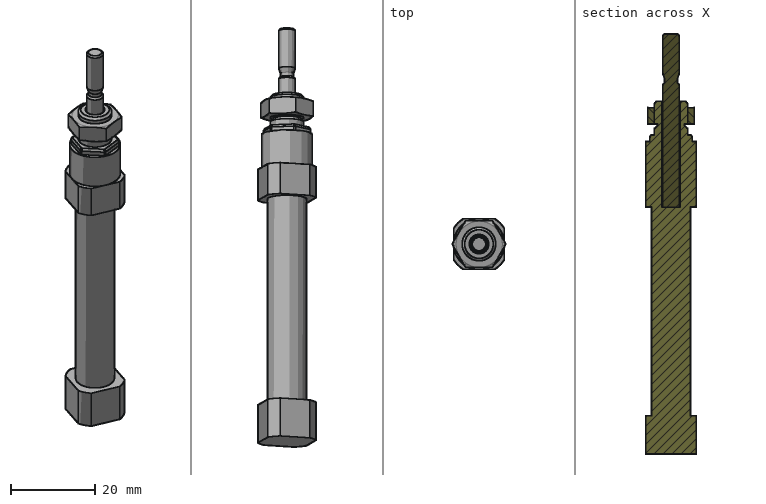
import cadquery as cq
import math

total_length = 99.5
rear_block_height = 9.2
front_block_bottom = 58.5
front_block_top = 66.0
collar_top = 74.0
hex_base_top = 75.6
relief_chamfer_bottom = 77.1
nut_bottom = 78.1
nut_height = 4.0
thread_top = 83.6

block_width = 12.0
block_corner_diameter = 14.1
tube_diameter = 9.3

hex_sides = 6
hex_half_angle = 180.0 / hex_sides

hex_base_flats = 10.1
hex_base_blunted_corners = 11.4
hex_base_chamfer_height = 0.6
hex_base_chamfer_width = 0.35

thread_diameter = 8.0
thread_tip_diameter = 6.8
thread_chamfer_height = 0.6
relief_diameter = 6.5
rod_bore_diameter = 4.2
rod_bore_lead_in = 0.2
rod_bore_bottom = front_block_bottom

nut_flats = 11.0
nut_face_diameter = 10.9
nut_chamfer_angle = 15.0

rod_diameter = 4.0
rod_tip_chamfer = 0.4
rod_groove_diameter = 3.2
rod_groove_top = 90.0
rod_groove_upper_cone = 1.2
rod_groove_lower_cone = 0.5
rod_groove_bottom = 87.5


def cylinder(diameter, bottom, top):
    """Upright cylinder on the Z axis between two levels."""
    return cq.Workplane("XY", origin=(0, 0, bottom)).circle(diameter / 2).extrude(top - bottom)


def revolved(profile):
    """Solid of revolution about Z from (radius, level) points."""
    return cq.Workplane("XZ").polyline(profile).close().revolve(360, (0, 0, 0), (0, 1, 0))


def across_corners(flats):
    """Width of a regular hexagon over its corners, from its width over flats."""
    return flats / math.cos(math.radians(hex_half_angle))


def hexagon(flats, bottom, top):
    """Hexagonal prism with two corners on the X axis."""
    corners = across_corners(flats)
    return cq.Workplane("XY", origin=(0, 0, bottom)).polygon(hex_sides, corners).extrude(top - bottom)


def end_block(bottom, top):
    """Square block whose corners are turned off to a cylinder."""
    square = cq.Workplane("XY", origin=(0, 0, bottom)).rect(block_width, block_width).extrude(top - bottom)
    return square.intersect(cylinder(block_corner_diameter, bottom, top))


def make_hex_base():
    """Short hexagon with cut-off corners and a chamfer along its top edges."""
    chamfer_bottom = hex_base_top - hex_base_chamfer_height
    chamfer_taper = math.degrees(math.atan(hex_base_chamfer_width / hex_base_chamfer_height))
    corner_cutter = hexagon(hex_base_blunted_corners, collar_top, chamfer_bottom)
    corner_cutter = corner_cutter.rotate((0, 0, 0), (0, 0, 1), hex_half_angle)
    base = hexagon(hex_base_flats, collar_top, chamfer_bottom).intersect(corner_cutter)
    return base.faces(">Z").wires().toPending().extrude(hex_base_chamfer_height, taper=chamfer_taper)


def make_nose():
    """Threaded nose with a chamfered tip and a relief groove below the nut."""
    tip_radius = thread_tip_diameter / 2
    thread_radius = thread_diameter / 2
    relief_radius = relief_diameter / 2
    relief_floor_bottom = relief_chamfer_bottom + thread_radius - relief_radius
    return revolved([
        (0, hex_base_top),
        (thread_radius, hex_base_top),
        (thread_radius, relief_chamfer_bottom),
        (relief_radius, relief_floor_bottom),
        (relief_radius, nut_bottom),
        (thread_radius, nut_bottom),
        (thread_radius, thread_top - thread_chamfer_height),
        (tip_radius, thread_top),
        (0, thread_top),
    ])


def make_rod_bore():
    """Blind bore for the piston rod, widened by a chamfer at its mouth."""
    bore_radius = rod_bore_diameter / 2
    return revolved([
        (0, rod_bore_bottom),
        (bore_radius, rod_bore_bottom),
        (bore_radius, thread_top - rod_bore_lead_in),
        (bore_radius + rod_bore_lead_in, thread_top),
        (0, thread_top),
    ])


def make_housing():
    """Rear block, tube, front block, collar, hexagonal base and nose in one piece."""
    housing = end_block(0, rear_block_height)
    housing = housing.union(cylinder(tube_diameter, rear_block_height, front_block_bottom))
    housing = housing.union(end_block(front_block_bottom, front_block_top))
    housing = housing.union(cylinder(block_width, front_block_top, collar_top))
    housing = housing.union(make_hex_base())
    housing = housing.union(make_nose())
    return housing.cut(make_rod_bore())


def make_nut():
    """Hexagon nut with its corners chamfered on both faces."""
    nut_top = nut_bottom + nut_height
    face_radius = nut_face_diameter / 2
    corner_radius = across_corners(nut_flats) / 2
    corner_drop = (corner_radius - face_radius) * math.tan(math.radians(nut_chamfer_angle))
    envelope = revolved([
        (0, nut_bottom),
        (face_radius, nut_bottom),
        (corner_radius, nut_bottom + corner_drop),
        (corner_radius, nut_top - corner_drop),
        (face_radius, nut_top),
        (0, nut_top),
    ])
    nut = hexagon(nut_flats, nut_bottom, nut_top).intersect(envelope)
    return nut.cut(cylinder(thread_diameter, nut_bottom, nut_top))


def make_rod():
    """Piston rod with a chamfered tip and a cone-sided groove, seated on the bore floor."""
    rod_radius = rod_diameter / 2
    groove_radius = rod_groove_diameter / 2
    return revolved([
        (0, rod_bore_bottom),
        (rod_radius, rod_bore_bottom),
        (rod_radius, rod_groove_bottom),
        (groove_radius, rod_groove_bottom + rod_groove_lower_cone),
        (groove_radius, rod_groove_top - rod_groove_upper_cone),
        (rod_radius, rod_groove_top),
        (rod_radius, total_length - rod_tip_chamfer),
        (rod_radius - rod_tip_chamfer, total_length),
        (0, total_length),
    ])


housing = make_housing()
nut = make_nut()
rod = make_rod()
result = cq.Compound.makeCompound([housing.val(), nut.val(), rod.val()])